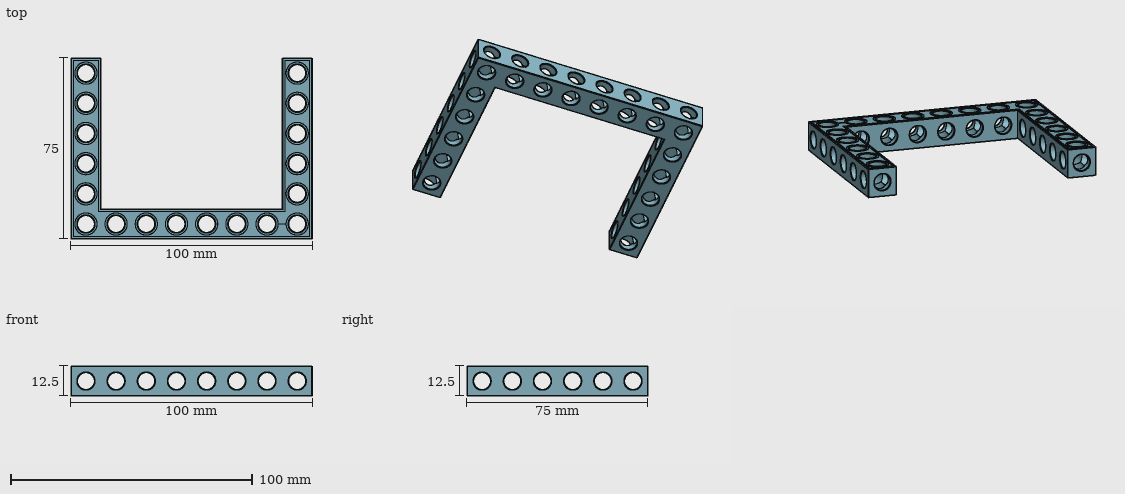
import cadquery as cq

length = 100.0
depth = 75.0
pitch = 12.5
height = pitch
edge_chamfer = 0.3

hole_diameter = 7.0
hole_chamfer = 0.3
columns = round(length / pitch)
rows = round(depth / pitch)

relief_depth = 0.2
rim_width = 1.1
collar_diameter = 9.2
bar_width = 0.1


def column_x(column):
    return -length / 2 + (column + 0.5) * pitch


def row_y(row):
    return -depth / 2 + (row + 0.5) * pitch


def u_outline(inset):
    """Outline of the U frame, moved into the material by the inset on every side."""
    outer_x = length / 2 - inset
    inner_x = length / 2 - pitch + inset
    front_y = -depth / 2 + inset
    web_y = -depth / 2 + pitch - inset
    back_y = depth / 2 - inset
    return [
        (-outer_x, front_y),
        (outer_x, front_y),
        (outer_x, back_y),
        (inner_x, back_y),
        (inner_x, web_y),
        (-inner_x, web_y),
        (-inner_x, back_y),
        (-outer_x, back_y),
    ]


def vertical_hole_centers():
    """Centers along the web, then up the two arms."""
    web = [(column_x(column), row_y(0)) for column in range(columns)]
    arms = [(column_x(column), row_y(row)) for column in (0, columns - 1) for row in range(1, rows)]
    return web + arms


def make_frame():
    """Plain U frame with every edge chamfered except the two inner corners."""
    frame = cq.Workplane("XY").polyline(u_outline(0)).close().extrude(height)
    inner_x = length / 2 - pitch
    web_y = -depth / 2 + pitch
    inner_corners = cq.selectors.BoxSelector(
        (-inner_x - edge_chamfer, web_y - edge_chamfer, 0),
        (inner_x + edge_chamfer, web_y + edge_chamfer, height),
    )
    upright_edges = cq.selectors.SubtractSelector(cq.selectors.StringSyntaxSelector("|Z"), inner_corners)
    level_edges = cq.selectors.StringSyntaxSelector("#Z")
    return frame.edges(cq.selectors.SumSelector(upright_edges, level_edges)).chamfer(edge_chamfer)


def make_relief():
    """Cutter that leaves the rim, a collar around each vertical hole and one bar joining two collars."""
    plane = cq.Workplane("XY", origin=(0, 0, height - relief_depth))
    floor = plane.polyline(u_outline(rim_width)).close().extrude(relief_depth)
    collars = plane.pushPoints(vertical_hole_centers()).circle(collar_diameter / 2).extrude(relief_depth)
    bar = plane.center(column_x(columns - 1.5), row_y(0)).rect(pitch, bar_width).extrude(relief_depth)
    return floor.cut(collars).cut(bar)


def cut_holes(body):
    """Vertical holes through every cell, and level holes along X and Y."""
    radius = hole_diameter / 2
    vertical = cq.Workplane("XY").pushPoints(vertical_hole_centers()).circle(radius).extrude(height)
    along_y = (
        cq.Workplane("XZ", origin=(0, depth / 2, height / 2))
        .pushPoints([(column_x(column), 0) for column in range(columns)])
        .circle(radius)
        .extrude(depth)
    )
    along_x = (
        cq.Workplane("YZ", origin=(-length / 2, 0, height / 2))
        .pushPoints([(row_y(row), 0) for row in range(rows)])
        .circle(radius)
        .extrude(length)
    )
    return body.cut(vertical).cut(along_y).cut(along_x)


def chamfer_hole_mouths(body):
    """Chamfer both ends of every hole; the mouths are the smallest circles."""
    mouths = body.edges("%CIRCLE").edges(cq.selectors.RadiusNthSelector(0))
    return mouths.chamfer(hole_chamfer)


frame = make_frame().cut(make_relief())
result = chamfer_hole_mouths(cut_holes(frame))